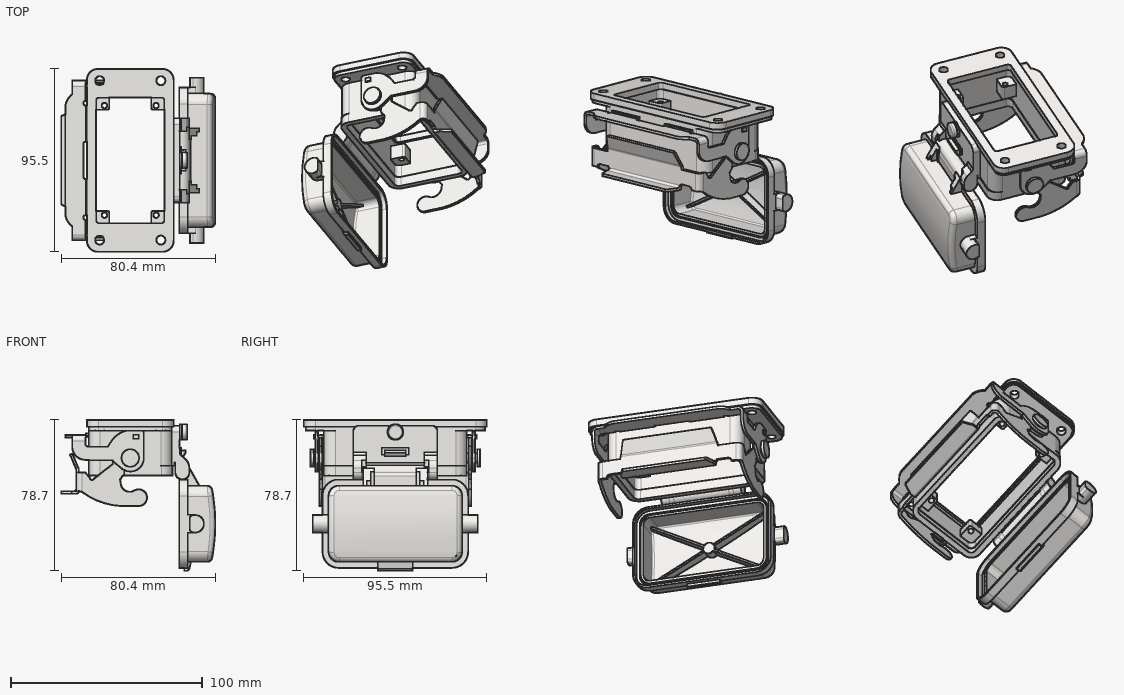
import cadquery as cq
import math


flange_length = 95.5
flange_width = 45.4
flange_thickness = 3.6
flange_corner = 5.9
seal_inset = 1.0
seal_thickness = 1.9
flange_hole_dia = 4.6
flange_hole_x = 15.95
flange_hole_y = 41.5
body_width = flange_width - 2 * seal_inset
body_length = 74.7
body_corner = 5.9
body_bottom = -29.0
skirt_height = 5.3
skirt_step = 0.4
opening_width = 35.6
opening_length = 65.5
opening_corner = 1.7
chamber_width = 37.6
chamber_length = 68.4
chamber_corner = 2.7
skirt_relief = 0.2
post_width = 6.9
post_length = 6.5
post_top = -9.1
post_height = 7.8
post_corner = 1.1
post_hole_dia = 2.8
post_hole_x = 13.5
post_hole_y = 28.6

sheet = 1.4
bend_outer = 3.0
bend_inner = bend_outer - sheet

pivot_z = -19.9
pivot_radius = 2.6
pivot_head_radius = 4.6
pivot_head_start = 42.6
pivot_head_end = 44.2

bail_y = 41.6
bail_top = -7.8
bail_front = -30.3
bail_back = -23.3
bail_lip_x = -33.8
bail_disc = 7.1
bail_arm_top = -13.9
bail_arm_bottom = -20.9
bail_notch = 1.0
bail_tab_start = 9.6
bail_tab_end = 28.65
bail_relief_end = 30.9
bail_tab_top = -6.9

lever_y = 39.6
lever_front = -28.2
lever_top = -27.4
lever_bottom = -37.15
lever_reach = 11.5
mouth_x = -0.3
mouth_z = -32.8
mouth_radius = 4.7
hook_tip_radius = 4.4
hook_tip_angle = math.radians(-59)
grip_reach = -36.0

hinge_x = 27.1
hinge_z = -27.3
hinge_radius = 3.7
hinge_y = 22.0
hinge_face = 25.8
cover_z = -54.15
rim_front = 25.5
rim_back = 30.1
rim_length = 76.0
rim_height = 46.1
rim_corner = 8.5
rim_wall = 1.1
rim_recess = 2.6
shell_length = 69.7
shell_height = 39.8
shell_corner = 5.5
shell_edge_x = 42.3
shell_edge_fillet = 2.9
overall_width = 80.4
cover_top_x = grip_reach + overall_width
shell_wall = 1.8
peg_x = 33.8
peg_radius = 4.6
peg_end = 43.1


def slab(x0, x1, y0, y1, z0, z1):
    """Axis-aligned box between two corner points."""
    return cq.Workplane("XY").box(x1 - x0, y1 - y0, z1 - z0, centered=False).translate((x0, y0, z0))


def side_plate(outline, y0, y1):
    """XZ outline extruded from y0 to y1."""
    return outline.extrude(-(y1 - y0)).translate((0, y0, 0))


def side_sketch():
    return cq.Workplane("XZ")


def x_plate(width_y, height_z, corner, x0, x1):
    """Rounded rectangle facing X, centred on the cover, from x0 to x1."""
    plate = cq.Workplane("YZ", origin=(x0, 0, cover_z)).rect(width_y, height_z).extrude(x1 - x0)
    return plate.edges("|X").fillet(corner)


def both_sides(shape):
    return shape.union(shape.mirror("XZ"))


def make_housing():
    seal_bottom = -flange_thickness - seal_thickness
    flange = (cq.Workplane("XY").rect(flange_width, flange_length).extrude(-flange_thickness)
              .edges("|Z").fillet(flange_corner))
    seal = (cq.Workplane("XY").rect(body_width, flange_length - 2 * seal_inset).extrude(seal_bottom)
            .edges("|Z").fillet(flange_corner - seal_inset))
    body = (cq.Workplane("XY").rect(body_width, body_length).extrude(body_bottom)
            .edges("|Z").fillet(body_corner))
    skirt = (cq.Workplane("XY", origin=(skirt_step, 0, body_bottom)).rect(body_width, body_length)
             .extrude(skirt_height).edges("|Z").fillet(body_corner))
    opening = (cq.Workplane("XY").rect(opening_width, opening_length)
               .extrude(body_bottom).edges("|Z").fillet(opening_corner))
    chamber = (cq.Workplane("XY", origin=(0, 0, body_bottom)).rect(chamber_width, chamber_length)
               .extrude(-flange_thickness - body_bottom).edges("|Z").fillet(chamber_corner))
    skirt_chamber = (cq.Workplane("XY", origin=(0, 0, body_bottom))
                     .rect(chamber_width + 2 * skirt_relief, chamber_length + 2 * skirt_relief)
                     .extrude(skirt_height).edges("|Z").fillet(chamber_corner))
    housing = flange.union(seal).union(body).union(skirt)
    housing = housing.cut(opening).cut(chamber).cut(skirt_chamber)

    wall_overlap = 0.5
    post = slab(opening_width / 2 - post_width, chamber_width / 2 + wall_overlap,
                opening_length / 2 - post_length, chamber_length / 2 + wall_overlap,
                post_top - post_height, post_top)
    post = post.edges("|Z and <X and <Y").fillet(post_corner)
    housing = housing.union(both_sides(post.union(post.mirror("YZ"))))

    housing = housing.cut(
        cq.Workplane("XY").rect(2 * post_hole_x, 2 * post_hole_y, forConstruction=True)
        .vertices().circle(post_hole_dia / 2).extrude(body_bottom))
    return housing.cut(
        cq.Workplane("XY").rect(2 * flange_hole_x, 2 * flange_hole_y, forConstruction=True)
        .vertices().circle(flange_hole_dia / 2).extrude(seal_bottom))


def make_pivots():
    """Headed pin that carries both lock sheets on each end wall."""
    stem = side_plate(side_sketch().center(0, pivot_z).circle(pivot_radius),
                      body_length / 2 - 1, pivot_head_end)
    head = side_plate(side_sketch().center(0, pivot_z).circle(pivot_head_radius),
                      pivot_head_start, pivot_head_end)
    return both_sides(stem.union(head))


def make_bail():
    inner_y = bail_y - sheet
    bend_bottom = bail_top - bend_outer

    disc_angle = math.radians(228)
    arm = side_plate(
        side_sketch().moveTo(bail_front, bend_bottom)
        .lineTo(bail_back, bend_bottom)
        .lineTo(bail_back, bail_arm_top + 1)
        .lineTo(bail_back + 1, bail_arm_top)
        .lineTo(-11.7, bail_arm_top)
        .lineTo(-9.2, -10.1)
        .threePointArc((-6.5, -7.6), (-2.9, -5.9))
        .lineTo(-1.9, -5.5)
        .lineTo(bail_disc - 0.8, -5.5)
        .lineTo(bail_disc, -6.3)
        .lineTo(bail_disc, pivot_z)
        .threePointArc((0, pivot_z - bail_disc),
                       (bail_disc * math.cos(disc_angle), pivot_z + bail_disc * math.sin(disc_angle)))
        .lineTo(-9.7, bail_arm_bottom)
        .lineTo(-23.5, bail_arm_bottom)
        .threePointArc((-28.1, -19.1), (bail_front, -14.7))
        .close(), inner_y, bail_y)
    stop_button = slab(1.6, 4.5, inner_y, bail_y + 0.9, -9.8, bail_top)

    leg_bottom = bend_bottom - 1
    bridge = slab(bail_front, bail_back, -bail_y, bail_y, leg_bottom, bail_top)
    bridge = bridge.edges("|X and >Z").fillet(bend_outer)
    hollow = slab(bail_front, bail_back, -inner_y, inner_y, leg_bottom, bail_top - sheet)
    bridge = bridge.cut(hollow.edges("|X and >Z").fillet(bend_inner))

    lip = (cq.Workplane("XY", origin=(0, 0, bail_top))
           .moveTo(bail_front, 34.5).threePointArc((-32.85, 31.5), (bail_lip_x, 28.8))
           .lineTo(bail_lip_x, -28.8).threePointArc((-32.85, -31.5), (bail_front, -34.5))
           .close().extrude(-sheet))

    notch_x = bail_back - bail_notch
    centre_notch = slab(notch_x, bail_back, -bail_tab_start, bail_tab_start, bend_bottom, 0)
    centre_notch = centre_notch.edges("|Z and <X").fillet(0.8 * bail_notch)
    relief = slab(notch_x, bail_back, bail_tab_end, bail_relief_end, bend_bottom, 0)
    relief = relief.edges("|Z and <X").fillet(0.8 * bail_notch)
    wall_x = -body_width / 2
    tab = side_plate(
        side_sketch().moveTo(notch_x, bail_top - sheet).lineTo(notch_x, bail_top)
        .lineTo(bail_back + 0.2, bail_top).lineTo(bail_back + 0.2, bail_tab_top)
        .lineTo(wall_x, bail_tab_top).lineTo(wall_x, bail_top - 0.3)
        .lineTo(bail_back + 0.2, bail_top - sheet).close(), bail_tab_start, bail_tab_end)

    bridge = bridge.union(lip).cut(centre_notch).cut(both_sides(relief))
    return bridge.union(both_sides(arm.union(stop_button).union(tab)))


def make_lever():
    back_x = lever_front + sheet
    inner_y = lever_y - sheet

    channel = slab(lever_front, lever_reach, -lever_y, lever_y, -47.75, 0)
    channel = channel.edges("|Z and <X").fillet(bend_outer)
    hollow = slab(back_x, lever_reach, -inner_y, inner_y, -47.75, 0)
    channel = channel.cut(hollow.edges("|Z and <X").fillet(bend_inner))

    tip_distance = mouth_radius + hook_tip_radius
    tip_cos = math.cos(hook_tip_angle)
    tip_sin = math.sin(hook_tip_angle)
    tip_x = mouth_x + tip_distance * tip_cos
    tip_z = mouth_z + tip_distance * tip_sin
    ear_radius = 9.1
    ear_z = -18.3
    ear_back = 6.2
    ear_corner = ear_radius / 2
    outline = side_plate(
        side_sketch().moveTo(lever_front, lever_top)
        .lineTo(-23.4, lever_top)
        .lineTo(-21.0, -30.2)
        .threePointArc((-20.15, -31.2), (-19.1, -30.75))
        .lineTo(-ear_radius, -23.0)
        .lineTo(-ear_radius, ear_z)
        .threePointArc((-ear_radius * math.sqrt(0.5), ear_z + ear_radius * math.sqrt(0.5)),
                       (0, ear_z + ear_radius))
        .lineTo(ear_back - ear_corner, ear_z + ear_radius)
        .lineTo(ear_back, ear_z + ear_radius - ear_corner)
        .lineTo(ear_back, pivot_z)
        .threePointArc((ear_back * math.sqrt(0.5), pivot_z - ear_back * math.sqrt(0.5)),
                       (0, pivot_z - ear_back))
        .lineTo(-3.15, pivot_z - ear_back)
        .lineTo(-3.15, -28.3)
        .lineTo(-5.3, -31.0)
        .lineTo(mouth_x - mouth_radius, mouth_z)
        .threePointArc((mouth_x - mouth_radius * math.sqrt(0.5), mouth_z - mouth_radius * math.sqrt(0.5)),
                       (mouth_x + mouth_radius * tip_cos, mouth_z + mouth_radius * tip_sin))
        .threePointArc((tip_x + hook_tip_radius, tip_z), (tip_x, tip_z - hook_tip_radius))
        .lineTo(-5.3, tip_z - hook_tip_radius)
        .threePointArc((-16.3, -42.5), (-24.9, -37.7))
        .lineTo(back_x, lever_bottom)
        .lineTo(lever_front, lever_bottom)
        .close(), -lever_y, lever_y)
    lever = channel.intersect(outline)

    cutback = (cq.Workplane("YZ", origin=(lever_front, 0, 0))
               .moveTo(24.8, lever_bottom).lineTo(26.6, -35.2).lineTo(32.3, -35.2)
               .threePointArc((33.6, -35.8), (34.3, lever_bottom)).close().extrude(sheet))
    lever = lever.cut(both_sides(cutback))

    flap_foot = -25.9
    flap_bend = -25.1
    flap_side = side_plate(
        side_sketch().moveTo(lever_front, lever_top).lineTo(lever_front, flap_foot)
        .threePointArc((lever_front - 0.1, flap_foot + 0.4), (lever_front - 0.3, flap_bend))
        .lineTo(-31.4, -18.1).lineTo(-30.1, -17.6).lineTo(back_x - 0.3, flap_bend)
        .threePointArc((back_x - 0.1, flap_foot + 0.4), (back_x, flap_foot))
        .lineTo(back_x, lever_top).close(), -lever_y, lever_y)
    flap_front = (cq.Workplane("YZ", origin=(bail_lip_x, 0, 0))
                  .polyline([(-26.9, lever_top), (-24.1, -17.6), (24.1, -17.6), (26.9, lever_top)])
                  .close().extrude(9.55).edges("|X and >Z").fillet(1.7))
    lever = lever.union(flap_side.intersect(flap_front))

    grip_bend = 1.2
    bend_offset = grip_bend * (1 - math.sqrt(0.5))
    grip_plan = (cq.Workplane("XY", origin=(0, 0, lever_bottom - sheet))
                 .moveTo(back_x, 25.5).lineTo(-30.6, 25.5).lineTo(-35.1, 23.5)
                 .threePointArc((-35.9, 22.9), (grip_reach, 22.0)).lineTo(grip_reach, -22.0)
                 .threePointArc((-35.9, -22.9), (-35.1, -23.5)).lineTo(-30.6, -25.5)
                 .lineTo(back_x, -25.5).close().extrude(2 * sheet))
    grip_side = side_plate(
        side_sketch().moveTo(grip_reach, lever_bottom).lineTo(lever_front - grip_bend, lever_bottom)
        .threePointArc((lever_front - bend_offset, lever_bottom + bend_offset),
                       (lever_front, lever_bottom + grip_bend))
        .lineTo(back_x, lever_bottom + grip_bend)
        .lineTo(back_x, lever_bottom)
        .threePointArc((back_x - 0.4, lever_bottom - 1.0), (lever_front, lever_bottom - sheet))
        .lineTo(grip_reach, lever_bottom - sheet).close(), -lever_y, lever_y)
    return lever.union(grip_plan.intersect(grip_side))


def make_hinge():
    wall_x = body_width / 2
    lug_left = hinge_x - hinge_radius
    lug_right = hinge_x + hinge_radius
    block_bottom = -22.25
    block_top = -3.0
    block_corner = 3.15
    foot_face = 23.1
    foot_bottom = -24.0
    lug_inner_y = 15.2
    lug_step_x = 29.3
    lug_step_y = 17.4
    lug = (side_sketch().moveTo(wall_x, -16.2).lineTo(hinge_face, -16.2).lineTo(hinge_face, -17.0)
           .lineTo(26.55, -18.4).lineTo(lug_step_x, -20.9)
           .threePointArc((30.4, -22.7), (lug_right, -24.8))
           .lineTo(lug_right, hinge_z)
           .threePointArc((hinge_x, hinge_z - hinge_radius), (lug_left, hinge_z))
           .lineTo(lug_left, block_bottom).lineTo(wall_x, block_bottom).close())
    lug = side_plate(lug, lug_inner_y, hinge_y)
    lug = lug.cut(slab(lug_step_x, lug_right + 1, lug_inner_y, lug_step_y, hinge_z - hinge_radius, 0))

    block = slab(wall_x - 1, hinge_face, -hinge_y, hinge_y, block_bottom, block_top)
    block = block.edges("|X and >Z").fillet(block_corner)

    foot = slab(wall_x - 1, foot_face, -hinge_y, hinge_y, foot_bottom, block_bottom)
    block = block.union(foot)

    catch = side_plate(
        side_sketch().moveTo(hinge_face, -15.95).lineTo(28.8, -15.95).lineTo(28.8, -17.2)
        .lineTo(27.7, -19.0).lineTo(hinge_face, -19.0).close(), -5.4, 5.4)
    backing = slab(hinge_face, 26.55, -7.1, 7.1, -18.1, -14.6)

    button_radius = 4.1
    button_z = -6.3
    button_length = 4.0
    button_rounding = 0.8
    groove_x = 26.8
    groove_width = 0.4
    groove_depth = 0.2
    button = (cq.Workplane("YZ", origin=(hinge_face, 0, button_z)).circle(button_radius)
              .extrude(button_length).faces(">X").edges().fillet(button_rounding))
    groove = (cq.Workplane("YZ", origin=(groove_x, 0, button_z)).circle(button_radius + 1)
              .circle(button_radius - groove_depth).extrude(groove_width))
    return block.union(both_sides(lug)).union(catch).union(backing).union(button.cut(groove))


def dome(edge_x, apex_x, length, height, start_x):
    """Prism along Y whose +X side is a shallow arc."""
    half = height / 2
    return side_plate(
        side_sketch().moveTo(start_x, cover_z - half).lineTo(edge_x, cover_z - half)
        .threePointArc((apex_x, cover_z), (edge_x, cover_z + half))
        .lineTo(start_x, cover_z + half).close(), -length / 2, length / 2)


def make_cover():
    recess_floor = rim_front + rim_recess
    rim = x_plate(rim_length, rim_height, rim_corner, rim_front, rim_back)
    recess = x_plate(rim_length - 2 * rim_wall, rim_height - 2 * rim_wall,
                     rim_corner - rim_wall, rim_front, recess_floor)

    shell = dome(shell_edge_x, cover_top_x, shell_length, shell_height, recess_floor)
    shell = shell.edges("|X").fillet(shell_corner)
    shell = shell.faces(">X").edges().fillet(shell_edge_fillet)

    seam_width = 0.6
    seam_floor = recess_floor + 0.5
    seam = x_plate(shell_length + seam_width, shell_height + seam_width, shell_corner,
                   recess_floor, seam_floor)
    seam = seam.cut(x_plate(shell_length - seam_width, shell_height - seam_width, shell_corner,
                            recess_floor, seam_floor))

    cavity_length = shell_length - 2 * shell_wall
    cavity_height = shell_height - 2 * shell_wall
    cavity_apex = cover_top_x - shell_wall
    cavity = dome(shell_edge_x - shell_wall, cavity_apex, cavity_length, cavity_height, rim_front)
    cavity = cavity.edges("|X").fillet(shell_corner - shell_wall)
    cavity = cavity.faces(">X").edges().fillet(1.0)

    cover = rim.union(shell).cut(recess).cut(seam).cut(cavity)

    rib_front = 36.7
    rib_width = 1.1
    hub_radius = 3.1
    rib_angle = 27.4
    rib_depth = cover_top_x - rib_front
    rib_length = math.hypot(cavity_length, cavity_height) - 2 * shell_wall
    for angle in (rib_angle, -rib_angle):
        rib = (cq.Workplane("YZ", origin=(rib_front, 0, cover_z)).rect(rib_length, rib_width)
               .extrude(rib_depth).rotate((0, 0, cover_z), (1, 0, cover_z), angle))
        cover = cover.union(rib.intersect(shell))
    hub = cq.Workplane("YZ", origin=(rib_front, 0, cover_z)).circle(hub_radius).extrude(rib_depth)
    cover = cover.union(hub.intersect(shell))

    peg_flat = 31.0
    shoulder_x = 32.5
    flat_half = 2.5
    shoulder_half = math.sqrt(peg_radius ** 2 - (peg_x - shoulder_x) ** 2)
    corner_x = 31.4
    corner_half = 3.8
    peg = side_plate(
        side_sketch().moveTo(shoulder_x, cover_z + shoulder_half)
        .threePointArc((peg_x + peg_radius, cover_z), (shoulder_x, cover_z - shoulder_half))
        .threePointArc((corner_x, cover_z - corner_half), (peg_flat, cover_z - flat_half))
        .lineTo(peg_flat, cover_z + flat_half)
        .threePointArc((corner_x, cover_z + corner_half), (shoulder_x, cover_z + shoulder_half))
        .close(), shell_length / 2 - 1, peg_end)
    peg_block = slab(rim_back - 1, peg_x, shell_length / 2 - 1, rim_length / 2,
                     cover_z - peg_radius, cover_z + peg_radius)
    cover = cover.union(both_sides(peg.union(peg_block)))

    rim_bottom = cover_z - rim_height / 2
    tab_bottom = -78.7
    tab = side_plate(
        side_sketch().moveTo(recess_floor, rim_bottom + 1).lineTo(recess_floor, tab_bottom)
        .lineTo(30.0, tab_bottom).lineTo(30.8, -77.5).lineTo(31.8, -73.5)
        .lineTo(rim_back - 1, -73.5).close(), -9.1, 9.1)
    return cover.union(tab)


def make_knuckle():
    """Hinge barrel of the cover with its web and stepped gussets."""
    shell_top = cover_z + shell_height / 2
    gusset_top_x = hinge_x + hinge_radius
    gusset_top_z = -25.1
    gusset_foot_x = 36.0
    barrel_y = 17.7
    web_y = 10.9
    barrel = side_plate(side_sketch().center(hinge_x, hinge_z).circle(hinge_radius), -barrel_y, barrel_y)
    web_back = 31.4
    web = side_plate(
        side_sketch().moveTo(rim_back - 1, hinge_z).lineTo(gusset_top_x, hinge_z)
        .lineTo(web_back, hinge_z - 1.9).lineTo(web_back, shell_top - 1)
        .lineTo(rim_back - 1, shell_top - 1).close(), -web_y, web_y)
    knuckle = barrel.union(web)

    for y0, y1, reach in ((14.8, 16.8, gusset_foot_x), (12.8, 14.8, 34.6), (web_y, 12.8, 31.9)):
        gusset = side_plate(
            side_sketch().moveTo(rim_back - 1, hinge_z)
            .lineTo(gusset_top_x, hinge_z).lineTo(gusset_top_x, gusset_top_z)
            .lineTo(gusset_foot_x, shell_top).lineTo(gusset_foot_x, shell_top - 1)
            .lineTo(rim_back - 1, shell_top - 1).close(), y0, y1)
        gusset = gusset.intersect(slab(rim_front, reach, y0, y1, shell_top - 1, 0))
        knuckle = knuckle.union(both_sides(gusset))
    return knuckle


result = make_housing()
for component in (make_pivots(), make_bail(), make_lever(), make_hinge(), make_cover(), make_knuckle()):
    result = result.union(component)